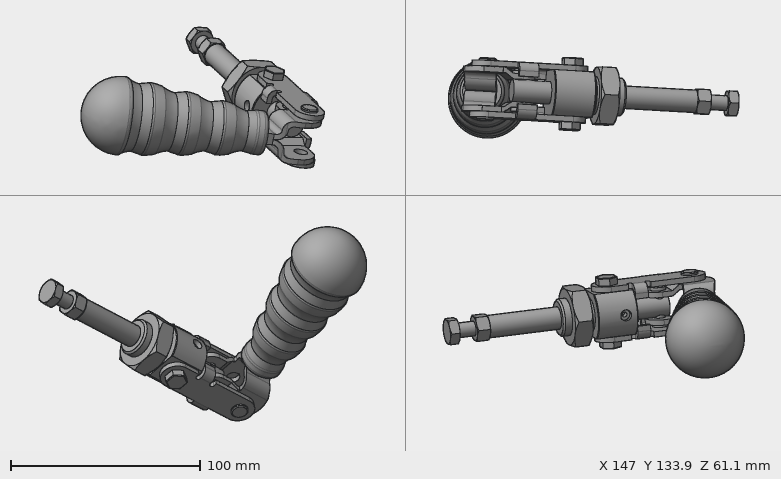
import cadquery as cq
import math

ROLL = 12.0

ROD_R = 6.0
ROD_END = 122.0
TIP_R = 4.0
TIP_HEX = 13.0
TIP_HEAD = 5.5
LOCK_START = 15.0
LOCK_END = 22.3

BARREL_R = 10.0
BARREL_START = 61.7
BARREL_END = 77.8
BARREL_CHAMFER = 1.0
NUT_HEX = 30.0
NUT_START = 66.6
NUT_END = 76.6
RELIEF_R = 9.0

BODY_START = 79.5
BODY_END = 101.5
BODY_R = 15.0
BODY_FLAT = 12.0
BODY_CHAMFER = 0.5
OIL_HOLE_X = 94.8
OIL_HOLE_R = 3.0
OIL_HOLE_DEPTH = 3.0
OIL_BORE_R = 1.3
OIL_BORE_DEPTH = 7.3

SHEET = 3.0
PLATE_OUT = BODY_FLAT + SHEET
PLATE_HALF = 8.2
BOLT_X = 89.7
PIVOT_X = 135.7
BOLT_HEX = 10.3
BOLT_TOP = 19.1
BOLT_CHAMFER = 0.5
PIN_R = 4.5
PIN_TOP = 16.5
PIN_CHAMFER = 0.6

TAB_TIP = 7.3
NEAR_TAB_START = 101.7
NEAR_TAB_END = 108.9
NEAR_TAB_FACE = 11.5
FAR_TAB_START = 110.5
FAR_TAB_END = 121.0
FAR_TAB_FACE = 13.0
TAB_BEND = 4.7
NOTCH_W = 2.6
NOTCH_DEPTH = 3.2

EAR_OUT = 11.9
EAR_IN = EAR_OUT - SHEET
EAR_HOLE_R = 3.7
EAR_LEFT = 128.5
LINK_OUT = 9.0
LINK_IN = LINK_OUT - SHEET
JOG_START = 122.9
JOG_END = 127.0
LINK_X = 117.3
LINK_R = 7.8
LINK_Y = -1.3
LINK_PIN_R = 3.0
LINK_HEAD_R = 4.3
LINK_PIN_TOP = 10.7
ARM_BEND_Y = -11.8
ARM_OUTER_R = 5.9
ARM_INNER_R = ARM_OUTER_R - SHEET
TANG_END = -32.3

GRIP_LEAN = 15.0
GRIP_AXIS_X = 138.9
GRIP_START = 23.2
GRIP_END_R = 10.3
GRIP_RIM_R = 11.8
GRIP_RIM_START = 25.5
GRIP_RIM_END = 28.5
VALLEY_S = 34.2
VALLEY_R = 10.7
PITCH = 20.0
PITCH_GROWTH = 2.43
RIDGES = 3
BALL_R = 20.9
BALL_CENTER = 101.7


def rod(start, end, radius):
    """Round bar along X."""
    return cq.Workplane("YZ").workplane(offset=start).circle(radius).extrude(end - start)


def hexagon(start, end, across_flats):
    """Hexagonal prism along X, corners on Y, with both ends chamfered at 30 degrees."""
    corner_r = across_flats / math.sqrt(3)
    cut = corner_r - across_flats / 2
    prism = cq.Workplane("YZ").workplane(offset=start).polygon(6, 2 * corner_r).extrude(end - start)
    envelope = rod(start, end, corner_r).faces("<X").chamfer(cut * math.tan(math.radians(30)), cut)
    envelope = envelope.faces(">X").chamfer(cut * math.tan(math.radians(30)), cut)
    return prism.intersect(envelope)


def both_sides(solid):
    """The solid together with its mirror image across the XY plane."""
    return solid.union(solid.mirror("XY"))


def plunger():
    tip = rod(0, LOCK_END, TIP_R)
    tip = tip.union(hexagon(0, TIP_HEAD, TIP_HEX)).union(hexagon(LOCK_START, LOCK_END, TIP_HEX))
    return tip.union(rod(LOCK_END, ROD_END, ROD_R))


def barrel():
    thread = rod(BARREL_START, BARREL_END, BARREL_R).faces("<X").chamfer(BARREL_CHAMFER)
    relief = rod(BARREL_END, BODY_START, RELIEF_R)
    return thread.union(relief).union(hexagon(NUT_START, NUT_END, NUT_HEX))


def body():
    length = BODY_END - BODY_START
    bar = rod(BODY_START, BODY_END, BODY_R).faces("<X or >X").chamfer(BODY_CHAMFER)
    flats = cq.Workplane("XY").box(length, 2 * BODY_R, 2 * BODY_FLAT).translate((BODY_START + length / 2, 0, 0))
    hole_plane = cq.Workplane("XZ", origin=(OIL_HOLE_X, -BODY_R, 0))
    oil_hole = hole_plane.circle(OIL_HOLE_R).extrude(-OIL_HOLE_DEPTH)
    oil_bore = hole_plane.circle(OIL_BORE_R).extrude(-OIL_BORE_DEPTH)
    return bar.intersect(flats).cut(oil_hole).cut(oil_bore)


def tab(start, end, face, side):
    """Sheet tab that bends down from the plate; face is its outer Y, side is +1 or -1."""
    bend_y = face - TAB_BEND
    bend_z = PLATE_OUT - TAB_BEND
    inner_r = TAB_BEND - SHEET
    slant = math.sqrt(0.5)
    profile = (
        cq.Workplane("YZ", origin=(start, 0, 0))
        .moveTo(0, BODY_FLAT)
        .lineTo(side * bend_y, BODY_FLAT)
        .threePointArc((side * (bend_y + inner_r * slant), bend_z + inner_r * slant),
                       (side * (face - SHEET), bend_z))
        .lineTo(side * (face - SHEET), TAB_TIP)
        .lineTo(side * face, TAB_TIP)
        .lineTo(side * face, bend_z)
        .threePointArc((side * (bend_y + TAB_BEND * slant), bend_z + TAB_BEND * slant),
                       (side * bend_y, PLATE_OUT))
        .lineTo(0, PLATE_OUT)
        .close()
    )
    return profile.extrude(end - start)


def side_plate():
    length = PIVOT_X - BOLT_X
    plate = (
        cq.Workplane("XY", origin=((BOLT_X + PIVOT_X) / 2, 0, BODY_FLAT))
        .slot2D(length + 2 * PLATE_HALF, 2 * PLATE_HALF)
        .extrude(SHEET)
    )
    notch_x = [NEAR_TAB_START - NOTCH_W / 2, NEAR_TAB_END + NOTCH_W / 2]
    for x in notch_x:
        notch = (
            cq.Workplane("XY", origin=(x, -PLATE_HALF, BODY_FLAT))
            .slot2D(2 * NOTCH_DEPTH, NOTCH_W, 90)
            .extrude(SHEET)
        )
        plate = plate.cut(notch)
    relief = (
        cq.Workplane("XY", origin=((NEAR_TAB_START + NEAR_TAB_END) / 2, -PLATE_HALF, PLATE_OUT / 2))
        .box(NEAR_TAB_END - NEAR_TAB_START, 2 * (PLATE_HALF - NEAR_TAB_FACE + TAB_BEND), 2 * PLATE_OUT)
    )
    plate = plate.cut(relief)
    plate = plate.union(tab(NEAR_TAB_START, NEAR_TAB_END, NEAR_TAB_FACE, -1))
    return plate.union(tab(FAR_TAB_START, FAR_TAB_END, FAR_TAB_FACE, 1))


def plate_bolt():
    head = (
        cq.Workplane("XY", origin=(BOLT_X, 0, PLATE_OUT))
        .transformed(rotate=(0, 0, 90))
        .polygon(6, 2 * BOLT_HEX / math.sqrt(3))
        .extrude(BOLT_TOP - PLATE_OUT)
    )
    return head.faces(">Z").chamfer(BOLT_CHAMFER)


def pivot_pin():
    """Rivet through the plate that seats on the outer face of the lever ear."""
    pin = cq.Workplane("XY", origin=(PIVOT_X, 0, EAR_OUT)).circle(PIN_R).extrude(PIN_TOP - EAR_OUT)
    return pin.faces(">Z").chamfer(PIN_CHAMFER)


def lever_ear():
    """Flat ear that curves inward to the tang held by the grip."""
    slant = math.sqrt(0.5)
    knee_z = EAR_OUT - ARM_OUTER_R
    foot_y = ARM_BEND_Y - ARM_OUTER_R - ARM_INNER_R
    section = (
        cq.Workplane("YZ", origin=(EAR_LEFT - 14.7, 0, 0))
        .moveTo(PLATE_HALF, EAR_OUT)
        .lineTo(ARM_BEND_Y, EAR_OUT)
        .threePointArc((ARM_BEND_Y - ARM_OUTER_R * slant, knee_z + ARM_OUTER_R * slant),
                       (ARM_BEND_Y - ARM_OUTER_R, knee_z))
        .threePointArc((foot_y + ARM_INNER_R * slant, knee_z - ARM_INNER_R * slant),
                       (foot_y, knee_z - ARM_INNER_R))
        .lineTo(TANG_END, knee_z - ARM_INNER_R)
        .lineTo(TANG_END, 0)
        .lineTo(foot_y, 0)
        .lineTo(foot_y, knee_z - ARM_OUTER_R)
        .threePointArc((foot_y + ARM_OUTER_R * slant, knee_z - ARM_OUTER_R * slant),
                       (ARM_BEND_Y - ARM_INNER_R, knee_z))
        .threePointArc((ARM_BEND_Y - ARM_INNER_R * slant, knee_z + ARM_INNER_R * slant),
                       (ARM_BEND_Y, EAR_IN))
        .lineTo(PLATE_HALF, EAR_IN)
        .close()
        .extrude(36.7)
    )
    outline = (
        cq.Workplane("XY")
        .moveTo(EAR_LEFT, 6.6)
        .lineTo(138.9, 6.6)
        .threePointArc((144.5, 3.0), (147.0, -3.0))
        .lineTo(147.0, -6.6)
        .threePointArc((146.0, -11.0), (144.0, -15.5))
        .threePointArc((142.9, -18.5), (141.4, -20.9))
        .lineTo(138.9, TANG_END)
        .lineTo(122.3, TANG_END)
        .lineTo(125.5, -19.8)
        .lineTo(127.3, -15.5)
        .lineTo(EAR_LEFT, -11.0)
        .close()
        .extrude(EAR_OUT)
    )
    hole = cq.Workplane("XY", origin=(PIVOT_X, 0, 0)).circle(EAR_HOLE_R).extrude(EAR_OUT)
    return section.intersect(outline).cut(hole)


def lever_link():
    """Joggled front end of the arm, which reaches to the plunger pivot."""
    section = (
        cq.Workplane("XZ", origin=(0, 14.7, 0))
        .moveTo(LINK_X - LINK_R, LINK_OUT)
        .lineTo(LINK_X - LINK_R, LINK_IN)
        .lineTo(JOG_START, LINK_IN)
        .lineTo(JOG_END, EAR_IN)
        .lineTo(EAR_LEFT + 1.5, EAR_IN)
        .lineTo(EAR_LEFT + 1.5, EAR_OUT)
        .lineTo(JOG_END, EAR_OUT)
        .lineTo(JOG_START, LINK_OUT)
        .close()
        .extrude(29.4)
    )
    outline = (
        cq.Workplane("XY")
        .moveTo(LINK_X, LINK_Y + LINK_R)
        .threePointArc((LINK_X - LINK_R, LINK_Y), (LINK_X, LINK_Y - LINK_R))
        .lineTo(EAR_LEFT + 1.5, LINK_Y - LINK_R)
        .lineTo(EAR_LEFT + 1.5, LINK_Y + LINK_R)
        .close()
        .extrude(EAR_OUT)
    )
    return section.intersect(outline)


def link_pin():
    """Rivet through the plunger and both links, with a wider head outside each link."""
    center = cq.Workplane("XY", origin=(LINK_X, LINK_Y, 0))
    shank = center.circle(LINK_PIN_R).extrude(LINK_PIN_TOP, both=True)
    head = center.workplane(offset=LINK_OUT).circle(LINK_HEAD_R).extrude(LINK_PIN_TOP - LINK_OUT)
    return shank.union(both_sides(head))


def grip():
    """Ribbed grip: three flared ridges, each wider than the last, and a ball end."""
    profile = (
        cq.Workplane("XY")
        .moveTo(0, -GRIP_START)
        .lineTo(GRIP_END_R, -GRIP_START)
        .threePointArc((GRIP_RIM_R - 0.5, -GRIP_START - 0.7), (GRIP_RIM_R, -GRIP_RIM_START))
        .lineTo(GRIP_RIM_R, -GRIP_RIM_END)
        .threePointArc((GRIP_RIM_R - 0.07, -(GRIP_RIM_END + 0.6)), (GRIP_RIM_R - 0.3, -(GRIP_RIM_END + 1.2)))
        .lineTo(VALLEY_R, -VALLEY_S)
    )
    for i in range(RIDGES):
        s = VALLEY_S + i * PITCH
        r = VALLEY_R + i * PITCH_GROWTH
        profile = (
            profile
            .threePointArc((r + 1.0, -(s + 3.8)), (r + 2.8, -(s + 7.3)))
            .threePointArc((r + 3.5, -(s + 10.5)), (r + 3.8, -(s + 13.2)))
            .threePointArc((r + 3.8, -(s + 13.8)), (r + 3.5, -(s + 14.4)))
            .lineTo(r + PITCH_GROWTH, -(s + PITCH))
        )
    last_s = VALLEY_S + RIDGES * PITCH
    last_r = VALLEY_R + RIDGES * PITCH_GROWTH
    profile = (
        profile
        .threePointArc((last_r + 0.9, -(last_s + 3.0)), (BALL_R - 0.9, -(BALL_CENTER - 2.0)))
        .threePointArc((BALL_R - 0.1, -(BALL_CENTER - 1.2)), (BALL_R, -BALL_CENTER))
        .threePointArc((BALL_R * math.sqrt(0.5), -(BALL_CENTER + BALL_R * math.sqrt(0.5))),
                       (0, -(BALL_CENTER + BALL_R)))
        .close()
    )
    turned = profile.revolve(360, (0, 0, 0), (0, 1, 0))
    return turned.rotate((0, 0, 0), (0, 0, 1), -GRIP_LEAN).translate((GRIP_AXIS_X, 0, 0))


lever = both_sides(lever_ear().union(lever_link())).union(grip())
frame = plunger().union(link_pin()).union(barrel()).union(body())
frame = frame.union(both_sides(side_plate().union(plate_bolt()).union(pivot_pin())))
clamp = frame.union(lever)
result = clamp.rotate((0, 0, 0), (1, 0, 0), -ROLL)